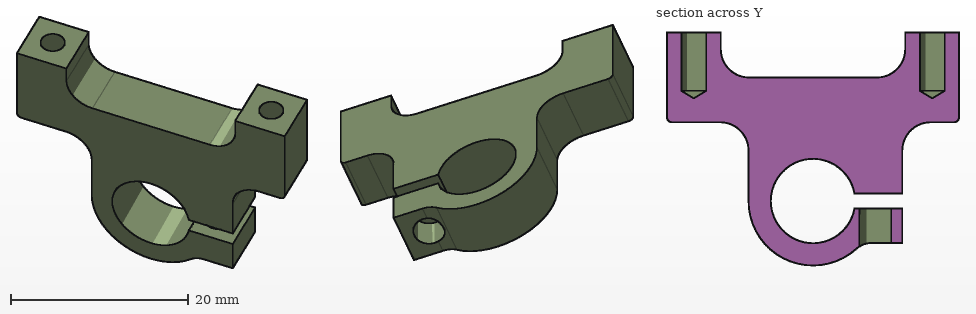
import cadquery as cq
import math

width = 33.02
thickness = 6.35
height = 26.35

bore_radius = 4.75
clamp_radius = 7.3
slot_height = 1.7
lug_x = 10.1
lug_bottom_z = -bore_radius
lug_fillet = 2.55

top_z = height - clamp_radius
post_width = 6.1
recess_depth = 5.1
arm_height = 10.17
recess_floor_z = top_z - recess_depth
arm_bottom_z = top_z - arm_height
large_fillet = 3.17
arm_corner_fillet = 0.6

post_hole_diameter = 2.75
post_hole_inset = 3.05
post_hole_depth = 6.6
drill_tip_angle = 118.0

screw_hole_diameter = 3.55
screw_hole_x = 7.03


def fillet_at(body, points, radius):
    """Round the Y-direction edges that pass nearest the given (x, z) points."""
    for x, z in points:
        edge = cq.selectors.NearestToPointSelector((x, 0, z))
        body = body.edges("|Y").edges(edge).fillet(radius)
    return body


def make_body():
    """Crossbar, neck and lug in one outline, joined to the clamp ring."""
    half_width = width / 2
    half_recess = half_width - post_width
    outline = [
        (-half_width, top_z),
        (-half_recess, top_z),
        (-half_recess, recess_floor_z),
        (half_recess, recess_floor_z),
        (half_recess, top_z),
        (half_width, top_z),
        (half_width, arm_bottom_z),
        (lug_x, arm_bottom_z),
        (lug_x, lug_bottom_z),
        (0, lug_bottom_z),
        (0, 0),
        (-clamp_radius, 0),
        (-clamp_radius, arm_bottom_z),
        (-half_width, arm_bottom_z),
    ]
    half_thickness = thickness / 2
    block = cq.Workplane("XZ").polyline(outline).close().extrude(half_thickness, both=True)
    ring = cq.Workplane("XZ").circle(clamp_radius).extrude(half_thickness, both=True)
    body = block.union(ring)

    inside_corners = [
        (-half_recess, recess_floor_z),
        (half_recess, recess_floor_z),
        (-clamp_radius, arm_bottom_z),
        (lug_x, arm_bottom_z),
    ]
    arm_corners = [(-half_width, arm_bottom_z), (half_width, arm_bottom_z)]
    lug_meets_ring_x = math.sqrt(clamp_radius**2 - lug_bottom_z**2)
    body = fillet_at(body, inside_corners, large_fillet)
    body = fillet_at(body, arm_corners, arm_corner_fillet)
    return fillet_at(body, [(lug_meets_ring_x, lug_bottom_z)], lug_fillet)


def make_bore_and_slot():
    """Clamp bore and the slot that opens it through the +X side."""
    bore = cq.Workplane("XZ").circle(bore_radius).extrude(thickness, both=True)
    slot = cq.Workplane("XY").box(lug_x, thickness, slot_height, centered=(False, True, True))
    return bore.union(slot)


def make_post_hole(x):
    """Drilled hole going down from the post top, with a conical tip."""
    radius = post_hole_diameter / 2
    tip_depth = radius / math.tan(math.radians(drill_tip_angle / 2))
    profile = [
        (0, 0),
        (radius, 0),
        (radius, -post_hole_depth),
        (0, -post_hole_depth - tip_depth),
    ]
    drill = cq.Workplane("XZ").polyline(profile).close().revolve(360, (0, 0), (0, 1))
    return drill.translate((x, 0, top_z))


def make_screw_hole():
    """Vertical hole from the underside of the lug up to the slot."""
    plane = cq.Workplane("XY").workplane(offset=-clamp_radius)
    return plane.center(screw_hole_x, 0).circle(screw_hole_diameter / 2).extrude(clamp_radius)


result = make_body().cut(make_bore_and_slot()).cut(make_screw_hole())
for side in (-1, 1):
    result = result.cut(make_post_hole(side * (width / 2 - post_hole_inset)))